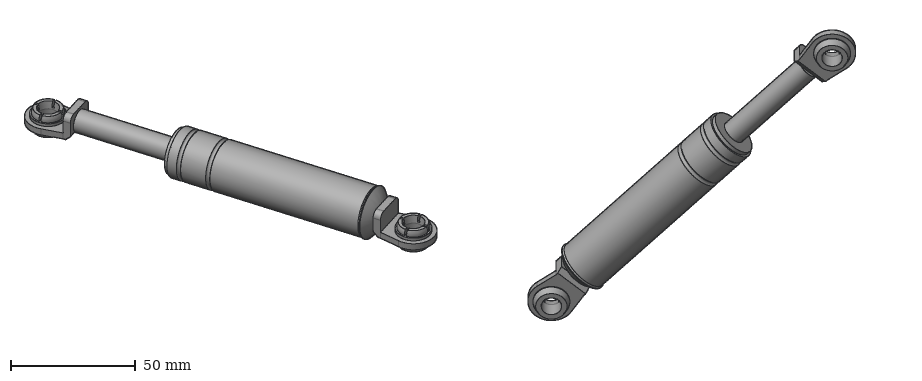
import cadquery as cq
import math

overall_length = 185.0

eye_radius = 9.5
plate_top_z = -2.4
plate_thickness = 3.0
tab_inner_x = 68.8
tab_thickness = 3.3
tab_width = 15.2
tab_top_z = 6.3
tab_corner_radius = 2.8
bend_chamfer = 2.2

bushing_top_z = 1.7
bushing_bottom_z = -8.7
bore_radius = 4.0
mouth_radius = 4.6
funnel_bottom_z = -1.8
claw_radius = 6.7
rim_radius = 6.1
claw_bulge = 0.28
flange_radius = 7.4
flange_top_z = -1.1
flange_bottom_z = -5.7
foot_radius = 6.3
slot_width = 1.0

rod_radius = 5.0

cylinder_radius = 11.0
nose_radius = 10.0
nose_x = -24.8
nose_length = 1.7
groove_centers_x = (-18.0, -4.6)
groove_radius = 1.0
bead_start_x = 63.6
bead_x = 64.4
bead_radius = 11.3
bead_width = 0.4
dome_mid_x = 67.3
dome_mid_radius = 8.1
end_face_radius = 5.2

eye_x = overall_length / 2 - eye_radius
plate_bottom_z = plate_top_z - plate_thickness
tab_outer_x = tab_inner_x + tab_thickness


def make_eye_plate():
    """Round eye whose sides run tangentially to the corners of the tab."""
    corner_dx = tab_outer_x - eye_x
    corner_y = tab_width / 2
    corner_distance = math.hypot(corner_dx, corner_y)
    tangent_angle = math.atan2(corner_y, corner_dx) - math.acos(eye_radius / corner_distance)
    tangent_x = eye_x + eye_radius * math.cos(tangent_angle)
    tangent_y = eye_radius * math.sin(tangent_angle)
    return (
        cq.Workplane("XY", origin=(0, 0, plate_bottom_z))
        .moveTo(tab_outer_x, -corner_y)
        .lineTo(tangent_x, -tangent_y)
        .threePointArc((eye_x + eye_radius, 0), (tangent_x, tangent_y))
        .lineTo(tab_outer_x, corner_y)
        .close()
        .extrude(plate_thickness)
    )


def make_tab():
    """Upright tab with rounded top corners and a bevelled bend at the bottom."""
    tab_height = tab_top_z - plate_bottom_z
    return (
        cq.Workplane("XY", origin=(tab_inner_x + tab_thickness / 2, 0, plate_bottom_z))
        .box(tab_thickness, tab_width, tab_height, centered=(True, True, False))
        .edges("|X and >Z")
        .fillet(tab_corner_radius)
        .edges("|Y and <X and <Z")
        .chamfer(bend_chamfer)
    )


def make_bushing():
    """Flanged ring with a flared mouth and a tapered foot, split into four claws above the flange."""
    claw_mid = ((claw_radius + rim_radius) / 2 + claw_bulge, (flange_top_z + bushing_top_z) / 2)
    ring = (
        cq.Workplane("XZ")
        .moveTo(bore_radius, bushing_bottom_z)
        .lineTo(foot_radius, bushing_bottom_z)
        .lineTo(flange_radius, flange_bottom_z)
        .lineTo(flange_radius, flange_top_z)
        .lineTo(claw_radius, flange_top_z)
        .threePointArc(claw_mid, (rim_radius, bushing_top_z))
        .lineTo(mouth_radius, bushing_top_z)
        .lineTo(bore_radius, funnel_bottom_z)
        .close()
        .revolve(360, (0, 0), (0, 1))
    )
    slot_depth = bushing_top_z - flange_top_z
    for angle in (0, 90):
        slot = (
            cq.Workplane("XY", origin=(0, 0, flange_top_z))
            .box(2 * flange_radius, slot_width, slot_depth, centered=(True, True, False))
            .rotate((0, 0, 0), (0, 0, 1), angle)
        )
        ring = ring.cut(slot)
    return ring.translate((eye_x, 0, 0))


def make_eye_end():
    """Complete eye bracket for the +X end."""
    bushing_opening = (
        cq.Workplane("XY", origin=(eye_x, 0, plate_bottom_z))
        .circle(flange_radius)
        .extrude(plate_thickness)
    )
    return make_eye_plate().cut(bushing_opening).union(make_tab()).union(make_bushing())


def make_piston_rod():
    """Rod from the cylinder nose to the eye at the -X end."""
    rod_length = tab_inner_x + nose_x
    rod = cq.Workplane("YZ", origin=(-tab_inner_x, 0, 0)).circle(rod_radius).extrude(rod_length)
    return rod.union(make_eye_end().mirror("YZ"))


def make_cylinder():
    """Turned barrel with a stepped nose, two round grooves and a crimped end, plus the +X eye."""
    shoulder_x = nose_x + nose_length
    profile = (
        cq.Workplane("XY")
        .moveTo(nose_x, 0)
        .lineTo(nose_x, nose_radius)
        .lineTo(shoulder_x, nose_radius)
        .lineTo(shoulder_x, cylinder_radius)
    )
    for center_x in groove_centers_x:
        profile = profile.lineTo(center_x - groove_radius, cylinder_radius).threePointArc(
            (center_x, cylinder_radius - groove_radius), (center_x + groove_radius, cylinder_radius)
        )
    barrel = (
        profile.lineTo(bead_start_x, cylinder_radius)
        .lineTo(bead_x, bead_radius)
        .lineTo(bead_x + bead_width, bead_radius)
        .threePointArc((dome_mid_x, dome_mid_radius), (tab_inner_x, end_face_radius))
        .lineTo(tab_inner_x, 0)
        .close()
        .revolve(360, (0, 0), (1, 0))
    )
    return barrel.union(make_eye_end())


piston_rod = make_piston_rod()
cylinder = make_cylinder()

result = cq.Compound.makeCompound([piston_rod.val(), cylinder.val()])